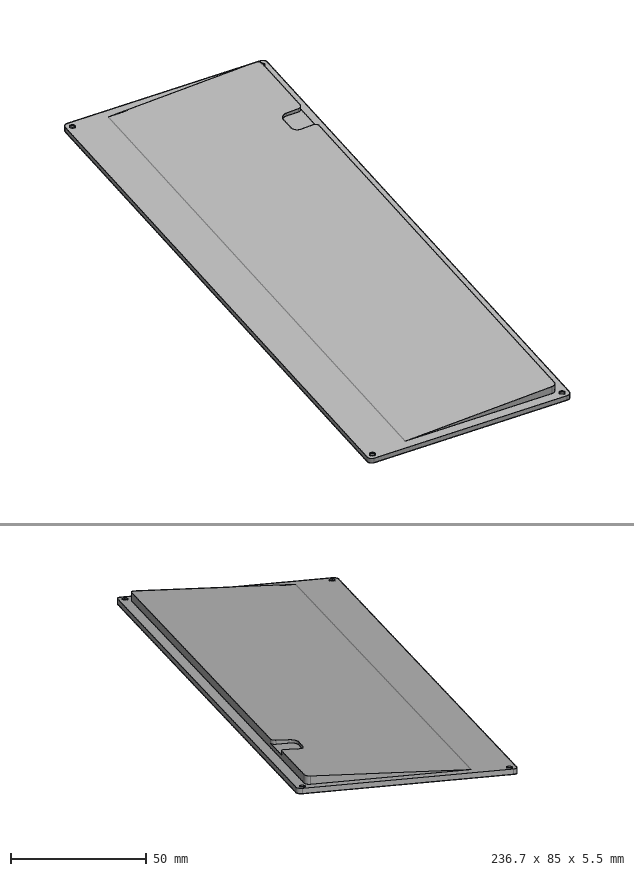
import cadquery as cq

plate_length = 236.7
plate_width = 85.0
plate_thickness = 2.1
plate_corner_radius = 2.0

hole_diameter = 2.2
hole_inset = 2.5
counterbore_diameter = 3.8
counterbore_depth = 1.7

total_height = 5.5
panel_side_inset = 3.8
panel_back_inset = 4.3
panel_front_inset = 17.0
panel_corner_radius = 2.0

notch_center_x = -76.0
notch_width = 11.4
notch_length = 9.5
notch_corner_radius = 2.8
notch_mouth_radius = 1.7
notch_floor_height = 3.8

panel_length = plate_length - 2 * panel_side_inset
panel_back_y = plate_width / 2 - panel_back_inset
panel_front_y = -plate_width / 2 + panel_front_inset


def make_plate():
    blank = cq.Workplane("XY").box(plate_length, plate_width, plate_thickness, centered=(True, True, False))
    blank = blank.edges("|Z").fillet(plate_corner_radius)
    return (
        blank.faces("<Z").workplane()
        .rect(plate_length - 2 * hole_inset, plate_width - 2 * hole_inset, forConstruction=True)
        .vertices().cboreHole(hole_diameter, counterbore_diameter, counterbore_depth)
    )


def make_panel():
    wedge = (
        cq.Workplane("YZ")
        .moveTo(panel_front_y, plate_thickness)
        .lineTo(panel_back_y, plate_thickness)
        .lineTo(panel_back_y, total_height)
        .close()
        .extrude(panel_length / 2, both=True)
    )
    return wedge.edges("|Z").fillet(panel_corner_radius)


def make_notch():
    half_width = notch_width / 2
    front_y = panel_back_y - notch_length
    side_top_y = panel_back_y - notch_mouth_radius
    mouth_half_width = half_width + notch_mouth_radius
    outline = (
        cq.Workplane("XY", origin=(notch_center_x, 0, notch_floor_height))
        .moveTo(-mouth_half_width, panel_back_y)
        .radiusArc((-half_width, side_top_y), notch_mouth_radius)
        .lineTo(-half_width, front_y + notch_corner_radius)
        .radiusArc((-half_width + notch_corner_radius, front_y), -notch_corner_radius)
        .lineTo(half_width - notch_corner_radius, front_y)
        .radiusArc((half_width, front_y + notch_corner_radius), -notch_corner_radius)
        .lineTo(half_width, side_top_y)
        .radiusArc((mouth_half_width, panel_back_y), notch_mouth_radius)
        .close()
    )
    return outline.extrude(total_height - notch_floor_height)


result = make_plate().union(make_panel().cut(make_notch()))